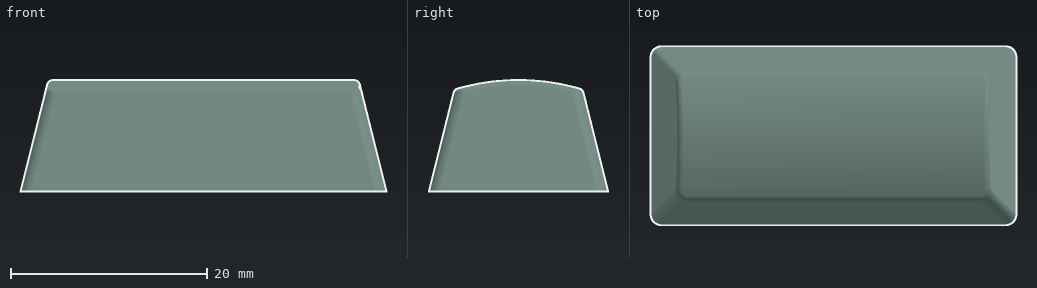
import cadquery as cq

length = 37.35
width = 18.3
height = 11.4

wall_angle = 14.0
corner_radius = 1.25

crown_radius = 22.4
rim_radius = 0.65


def tapered_body():
    """Rectangular block with leaning walls and rounded leaning corners."""
    block = cq.Workplane("XY").rect(length, width).extrude(height, taper=wall_angle)
    return block.edges("not(|X or |Y)").fillet(corner_radius)


def crown_cylinder():
    """Cylinder lying along X whose highest line is the ridge of the top."""
    return (
        cq.Workplane("YZ")
        .center(0, height - crown_radius)
        .circle(crown_radius)
        .extrude(length / 2, both=True)
    )


def round_rim(cap):
    """Round the edge between the crowned top and the walls."""
    return cap.faces(">Z").edges().fillet(rim_radius)


crowned_cap = tapered_body().intersect(crown_cylinder())
result = round_rim(crowned_cap)